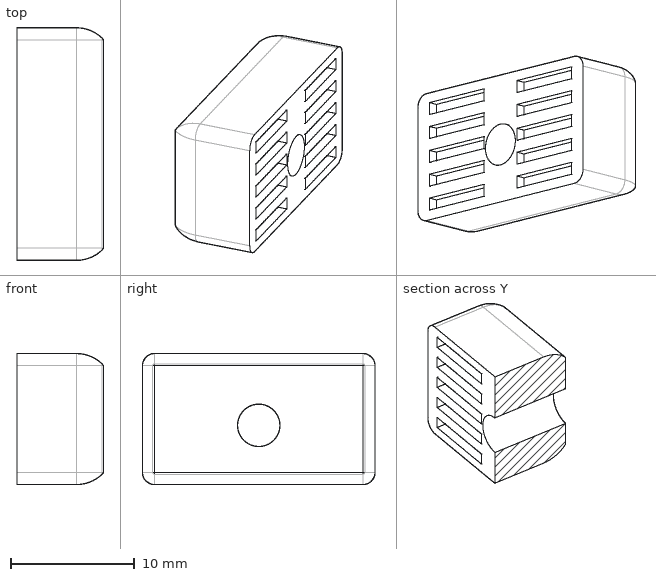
import cadquery as cq
import math

depth = 7.0
length = 18.8
height = 10.6
corner_radius = 1.0

straight_depth = 4.8
dome_radius = 3.0
bevel = 0.11

hole_diameter = 3.4
hole_drop = 0.5

slot_length = 6.2
slot_height = 1.0
slot_pitch = 2 * slot_height
slot_rows = 5
slot_depth = 0.8
slot_offset = 4.98

inner_half_length = length / 2 - corner_radius
inner_half_height = height / 2 - corner_radius


def edge_profile(inner_half):
    """Closed half section from the axis out to the rounded border, as (X, distance)."""
    outer = inner_half + corner_radius
    bevel_x = depth - bevel
    arc_run = bevel_x - straight_depth
    mid_run = arc_run / 2

    def arc_height(run):
        return outer - dome_radius + math.sqrt(dome_radius**2 - run**2)

    profile = (
        cq.Workplane("XY")
        .lineTo(0, outer)
        .lineTo(straight_depth, outer)
        .threePointArc(
            (straight_depth + mid_run, arc_height(mid_run)),
            (bevel_x, arc_height(arc_run)),
        )
        .lineTo(depth, inner_half)
    )
    if inner_half > 0:
        profile = profile.lineTo(depth, 0)
    return profile.close()


def make_block():
    """Two crossed bars with matching borders, joined by revolved corners."""
    y_side = edge_profile(inner_half_length).extrude(inner_half_height, both=True)
    z_side = (
        edge_profile(inner_half_height)
        .extrude(inner_half_length, both=True)
        .rotate((0, 0, 0), (1, 0, 0), 90)
    )
    corner = edge_profile(0).revolve(360, (0, 0, 0), (1, 0, 0))
    block = y_side.union(y_side.mirror("XZ")).union(z_side).union(z_side.mirror("XY"))
    for y in (-inner_half_length, inner_half_length):
        for z in (-inner_half_height, inner_half_height):
            block = block.union(corner.translate((0, y, z)))
    return block.clean()


def make_slots():
    return (
        cq.Workplane("YZ")
        .rarray(2 * slot_offset, slot_pitch, 2, slot_rows)
        .rect(slot_length, slot_height)
        .extrude(slot_depth)
    )


def make_hole():
    return cq.Workplane("YZ").center(0, -hole_drop).circle(hole_diameter / 2).extrude(depth)


result = make_block().cut(make_slots()).cut(make_hole())